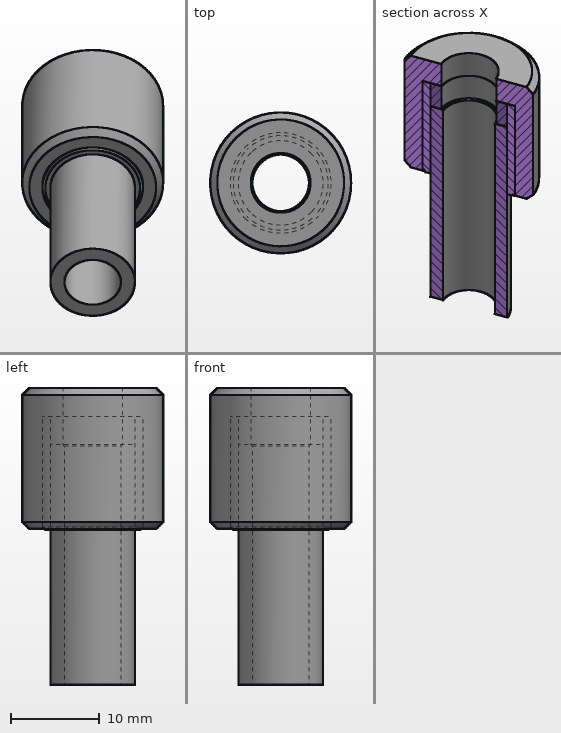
import cadquery as cq

TOTAL_HEIGHT = 33.45
HEAD_DIAMETER = 15.9
HEAD_HEIGHT = 15.9
HEAD_CHAMFER = 0.8
HEAD_BORE_DIAMETER = 6.72
TUBE_OUTER_DIAMETER = 9.53
TUBE_BORE_DIAMETER = 6.35
SLEEVE_DIAMETER = 11.35
SLEEVE_END_DIAMETER = 10.67
SLEEVE_PROTRUSION = 0.1
SOCKET_DEPTH = 3.2
SPACER_HEIGHT = 3.18

HEAD_BOTTOM = TOTAL_HEIGHT - HEAD_HEIGHT
SHOULDER = TOTAL_HEIGHT - SOCKET_DEPTH
TUBE_HEIGHT = SHOULDER - SPACER_HEIGHT
SLEEVE_BOTTOM = HEAD_BOTTOM - SLEEVE_PROTRUSION


def cylinder(diameter, bottom, height):
    """Upright cylinder centred on the Z axis."""
    return cq.Workplane("XY", origin=(0, 0, bottom)).circle(diameter / 2).extrude(height)


def make_head():
    """Chamfered head with a socket for the sleeve and a narrower opening above it."""
    body = cylinder(HEAD_DIAMETER, HEAD_BOTTOM, HEAD_HEIGHT).edges().chamfer(HEAD_CHAMFER)
    opening = cylinder(HEAD_BORE_DIAMETER, HEAD_BOTTOM, HEAD_HEIGHT)
    socket = cylinder(SLEEVE_DIAMETER, HEAD_BOTTOM, SHOULDER - HEAD_BOTTOM)
    return body.cut(opening).cut(socket)


def make_tube():
    """Tube with a chamfered bore mouth, running up inside the sleeve to the spacer."""
    bore = cylinder(TUBE_BORE_DIAMETER, 0, TUBE_HEIGHT)
    chamfer = (HEAD_BORE_DIAMETER - TUBE_BORE_DIAMETER) / 2
    body = cylinder(TUBE_OUTER_DIAMETER, 0, TUBE_HEIGHT).cut(bore)
    return body.faces(">Z").edges(cq.selectors.RadiusNthSelector(0)).chamfer(chamfer)


def make_spacer():
    """Ring between the shoulder of the head and the top of the tube."""
    bore = cylinder(HEAD_BORE_DIAMETER, TUBE_HEIGHT, SPACER_HEIGHT)
    return cylinder(TUBE_OUTER_DIAMETER, TUBE_HEIGHT, SPACER_HEIGHT).cut(bore)


def make_sleeve():
    """Sleeve around the tube and spacer, its chamfered end standing slightly out of the head."""
    height = SHOULDER - SLEEVE_BOTTOM
    bore = cylinder(TUBE_OUTER_DIAMETER, SLEEVE_BOTTOM, height)
    chamfer = (SLEEVE_DIAMETER - SLEEVE_END_DIAMETER) / 2
    body = cylinder(SLEEVE_DIAMETER, SLEEVE_BOTTOM, height).faces("<Z").edges().chamfer(chamfer)
    return body.cut(bore)


head = make_head()
tube = make_tube()
spacer = make_spacer()
sleeve = make_sleeve()

result = cq.Compound.makeCompound([head.val(), tube.val(), spacer.val(), sleeve.val()])